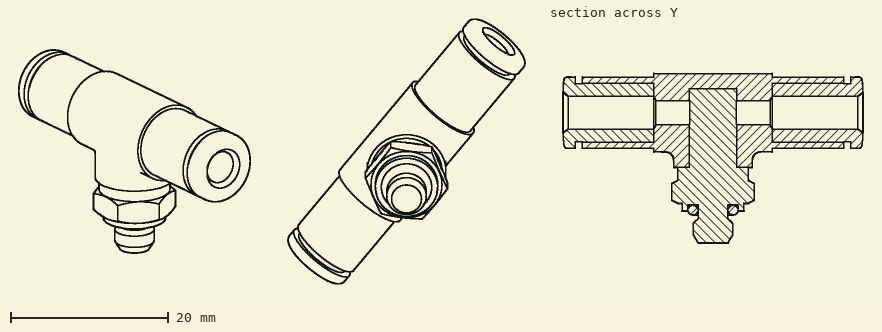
import cadquery as cq
import math


overall_length = 38.0
body_dia = 10.0
body_length = 15.05
tube_end_dia = 9.1
tube_end_length = 33.15
branch_bottom = -6.95
crotch_radius = 1.0
passage_dia = 3.0

sleeve_neck_dia = 7.4
flange_back = 17.45
tube_bore_dia = 4.1
mouth_dia = 5.13
mouth_depth = 0.7
flat_face_dia = 6.5
face_drop = 0.15
rim_radius = 0.45
sleeve_inner_end = body_length / 2
stop_cone_length = 0.3

post_dia = 6.0
post_top = post_dia / 2
collar_dia = 9.0
hex_top = -8.55
hex_bottom = -11.5
hex_across_flats = 9.1
hex_corner_dia = hex_across_flats / math.cos(math.radians(30))
hex_chamfer_angle = 30.0
seat_dia = 7.9
seat_bottom = -12.45
stud_neck_dia = 3.8
stud_neck_bottom = -13.4
thread_dia = 5.0
thread_top = -14.0
thread_bottom = -15.5
tip_dia = 3.8
overall_height = 21.5
stud_bottom = body_dia / 2 - overall_height

ring_outer_dia = 6.4
ring_section_dia = (ring_outer_dia - stud_neck_dia) / 2
ring_bottom = -13.0
ring_centre_z = ring_bottom + ring_section_dia / 2
ring_groove_top = ring_bottom + ring_section_dia


def x_cylinder(diameter, x_start, x_end):
    return cq.Workplane("YZ", origin=(x_start, 0, 0)).circle(diameter / 2).extrude(x_end - x_start)


def z_cylinder(diameter, z_start, z_end):
    return cq.Workplane("XY", origin=(0, 0, z_start)).circle(diameter / 2).extrude(z_end - z_start)


def make_housing():
    run = x_cylinder(body_dia, -body_length / 2, body_length / 2)
    branch = z_cylinder(body_dia, branch_bottom, 0)
    tee = run.union(branch)
    crotch = cq.selectors.BoxSelector(
        (-body_dia, -body_dia, -body_dia / 2 - 0.05),
        (body_dia, body_dia, 0.05),
    )
    crotch_edges = tee.edges(crotch).edges("not(%CIRCLE or %LINE)")
    housing = crotch_edges.fillet(crotch_radius)

    housing = housing.union(x_cylinder(tube_end_dia, -tube_end_length / 2, tube_end_length / 2))
    housing = housing.cut(x_cylinder(passage_dia, -tube_end_length / 2, tube_end_length / 2))
    for side in (-1, 1):
        sleeve_bore = x_cylinder(sleeve_neck_dia, side * sleeve_inner_end, side * tube_end_length / 2)
        housing = housing.cut(sleeve_bore).cut(make_stop_cone(side))
    return housing.cut(z_cylinder(post_dia, branch_bottom, post_top))


def make_stop_cone(side):
    cone = cq.Solid.makeCone(
        tube_bore_dia / 2,
        passage_dia / 2,
        stop_cone_length,
        pnt=cq.Vector(side * sleeve_inner_end, 0, 0),
        dir=cq.Vector(-side, 0, 0),
    )
    return cq.Workplane(cone)


def make_sleeve(side):
    """Release sleeve at the +X end (side = 1) or the -X end (side = -1)."""
    face = overall_length / 2
    rim_x = face - face_drop
    profile = [
        (sleeve_inner_end, tube_bore_dia / 2),
        (sleeve_inner_end, sleeve_neck_dia / 2),
        (flange_back, sleeve_neck_dia / 2),
        (flange_back, tube_end_dia / 2),
        (rim_x, tube_end_dia / 2),
        (face, flat_face_dia / 2),
        (face, mouth_dia / 2),
        (face - mouth_depth, tube_bore_dia / 2),
    ]
    points = [(side * x, radius) for x, radius in profile]
    sleeve = cq.Workplane("XY").polyline(points).close().revolve(360, (0, 0, 0), (1, 0, 0))
    rim = sleeve.edges(cq.selectors.RadiusNthSelector(-1)).edges(">X" if side > 0 else "<X")
    return rim.fillet(rim_radius)


def make_hex():
    """Hexagon with corners on the X axis and both ends turned down to the collar diameter."""
    hexagon = (
        cq.Workplane("XY", origin=(0, 0, hex_bottom))
        .polygon(6, hex_corner_dia)
        .extrude(hex_top - hex_bottom)
    )
    corner_radius = hex_corner_dia / 2
    end_radius = collar_dia / 2
    chamfer_height = (corner_radius - end_radius) * math.tan(math.radians(hex_chamfer_angle))
    envelope = (
        cq.Workplane("XZ")
        .polyline([
            (0, hex_bottom),
            (end_radius, hex_bottom),
            (corner_radius, hex_bottom + chamfer_height),
            (corner_radius, hex_top - chamfer_height),
            (end_radius, hex_top),
            (0, hex_top),
        ])
        .close()
        .revolve(360, (0, 0, 0), (0, 1, 0))
    )
    return hexagon.intersect(envelope)


def make_stud():
    profile = [
        (0, post_top),
        (post_dia / 2, post_top),
        (post_dia / 2, branch_bottom),
        (collar_dia / 2, branch_bottom),
        (collar_dia / 2, hex_top),
        (seat_dia / 2, hex_top),
        (seat_dia / 2, seat_bottom),
        (ring_outer_dia / 2, seat_bottom),
        (ring_outer_dia / 2, ring_groove_top),
        (stud_neck_dia / 2, ring_groove_top),
        (stud_neck_dia / 2, stud_neck_bottom),
        (thread_dia / 2, thread_top),
        (thread_dia / 2, thread_bottom),
        (tip_dia / 2, stud_bottom),
        (0, stud_bottom),
    ]
    turned = cq.Workplane("XZ").polyline(profile).close().revolve(360, (0, 0, 0), (0, 1, 0))
    return turned.union(make_hex())


def make_sealing_ring():
    ring_centre_radius = (stud_neck_dia + ring_section_dia) / 2
    ring = cq.Solid.makeTorus(
        ring_centre_radius,
        ring_section_dia / 2,
        pnt=cq.Vector(0, 0, ring_centre_z),
        dir=cq.Vector(0, 0, 1),
    )
    return cq.Workplane(ring)


housing = make_housing()
sleeves = [make_sleeve(side) for side in (-1, 1)]
stud = make_stud()
sealing_ring = make_sealing_ring()

result = cq.Compound.makeCompound([
    housing.val(),
    *[sleeve.val() for sleeve in sleeves],
    stud.val(),
    sealing_ring.val(),
])